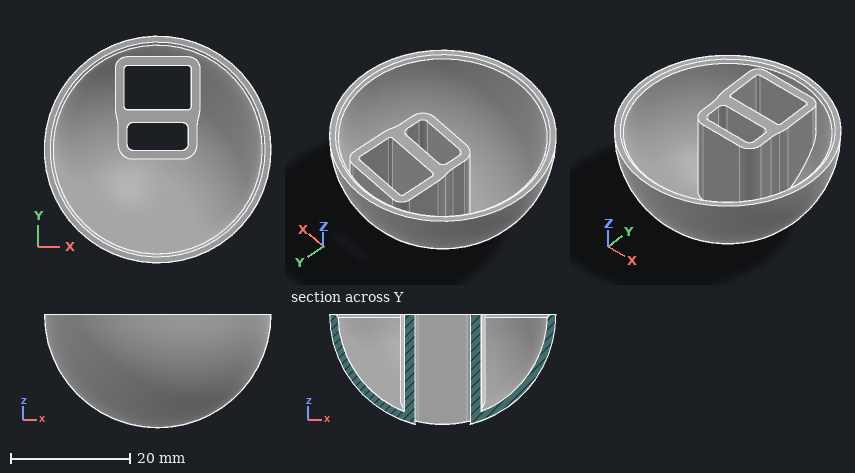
import cadquery as cq
import math

outer_radius = 19.0
wall_thickness = 1.5
inner_radius = outer_radius - wall_thickness
rim_bevel = 0.5

large_hole_length = 11.2
large_hole_width = 7.35
large_hole_corner = 0.5
large_hole_y = 10.375

small_hole_length = 10.2
small_hole_width = 4.65
small_hole_corner = 1.0
small_hole_y = 2.2

block_wall = 1.5
back_corner = large_hole_corner + block_wall
front_corner = small_hole_corner + block_wall
back_half_length = large_hole_length / 2 + block_wall
front_half_length = small_hole_length / 2 + block_wall
back_y = large_hole_y + large_hole_width / 2 + block_wall
front_y = small_hole_y - small_hole_width / 2 - block_wall
neck_back_y = large_hole_y - large_hole_width / 2 + large_hole_corner
neck_front_y = small_hole_y + small_hole_width / 2 - small_hole_corner


def lower_half_ball(radius):
    """Solid half ball below Z = 0, centred on the origin."""
    return (
        cq.Workplane("XZ")
        .lineTo(0, -radius)
        .threePointArc((radius * math.sqrt(0.5), -radius * math.sqrt(0.5)), (radius, 0))
        .close()
        .revolve(360, (0, 0, 0), (0, 1, 0))
    )


def rim_bevel_cutter():
    """Cone frustum that bevels the inner edge of the rim at 45 degrees."""
    return (
        cq.Workplane("XZ")
        .lineTo(inner_radius + rim_bevel, 0)
        .lineTo(inner_radius, -rim_bevel)
        .lineTo(0, -rim_bevel)
        .close()
        .revolve(360, (0, 0, 0), (0, 1, 0))
    )


def block():
    """Block with rounded corners, narrowing through an S-curve on each side."""
    neck_middle = ((back_half_length + front_half_length) / 2, (neck_back_y + neck_front_y) / 2)
    arc_inset = 1 - math.sqrt(0.5)
    outline = (
        cq.Workplane("XY")
        .moveTo(0, front_y)
        .lineTo(front_half_length - front_corner, front_y)
        .threePointArc(
            (front_half_length - front_corner * arc_inset, front_y + front_corner * arc_inset),
            (front_half_length, front_y + front_corner),
        )
        .lineTo(front_half_length, neck_front_y)
        .tangentArcPoint(neck_middle, relative=False)
        .tangentArcPoint((back_half_length, neck_back_y), relative=False)
        .lineTo(back_half_length, back_y - back_corner)
        .threePointArc(
            (back_half_length - back_corner * arc_inset, back_y - back_corner * arc_inset),
            (back_half_length - back_corner, back_y),
        )
        .lineTo(0, back_y)
        .mirrorY()
    )
    return outline.extrude(-outer_radius)


def through_hole(length, width, corner, center_y):
    """Rounded rectangular prism reaching from the rim plane to the bottom of the shell."""
    return (
        cq.Workplane("XY")
        .center(0, center_y)
        .rect(length, width)
        .extrude(-outer_radius)
        .edges("|Z")
        .fillet(corner)
    )


outer_ball = lower_half_ball(outer_radius)
shell = outer_ball.cut(lower_half_ball(inner_radius)).cut(rim_bevel_cutter())
result = (
    shell.union(block().intersect(outer_ball))
    .cut(through_hole(large_hole_length, large_hole_width, large_hole_corner, large_hole_y))
    .cut(through_hole(small_hole_length, small_hole_width, small_hole_corner, small_hole_y))
)